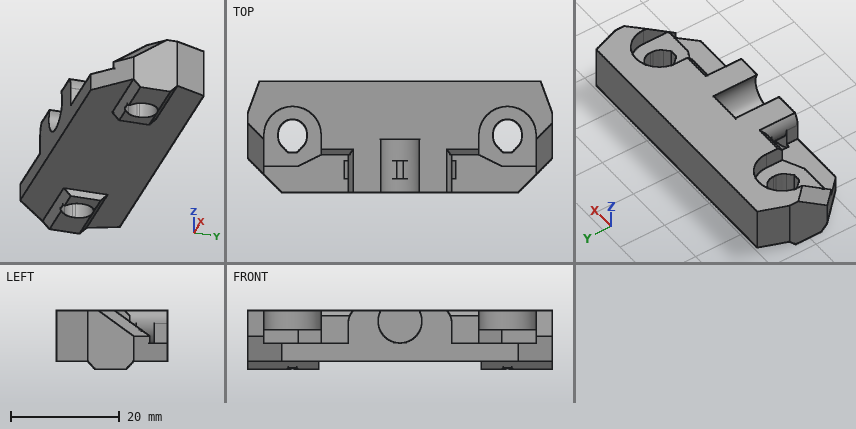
import cadquery as cq
import math

LENGTH = 56.0
DEPTH = 20.5
TOTAL_HEIGHT = 10.8
FOOT_HEIGHT = 1.45
PLATE_HEIGHT = TOTAL_HEIGHT - FOOT_HEIGHT
HALF_LENGTH = LENGTH / 2

FRONT_BEVEL = 6.3
BACK_CORNER_X = 2.1
BACK_CORNER_Y = 5.75
SIDE_FRONT = FRONT_BEVEL
SIDE_BACK = DEPTH - BACK_CORNER_Y

SLOPE_DROP = 4.7
SLOPE_SETBACK = 4.6

FOOT_INNER_X = 14.9
FOOT_SLOPE_RUN = 1.35

SCREW_X = 19.75
SEAT_Y = 10.6
SEAT_RADIUS = 5.25
SEAT_DROP = 3.5
SCREW_RADIUS = 2.65
SCREW_BACK_CENTRE_Y = 10.8
SCREW_FRONT_CENTRE_Y = 10.3
SCREW_TIP_Y = 7.4
SEAT_FRONT_Y = 4.9
SEAT_CORNER_X = 18.7
SEAT_OUTER_X = SCREW_X + SEAT_RADIUS
SEAT_INNER_X = SCREW_X - SEAT_RADIUS

POCKET_DROP = 6.0
POCKET_FLOOR_Z = PLATE_HEIGHT - POCKET_DROP
POCKET_BACK_Y = 6.95
POCKET_CHAMFER = 1.0

BLOCK_HALF_WIDTH = 9.5
STRAP_INNER_RADIUS = 3.6
STRAP_BORE_OVERLAP = 0.045
STRAP_CENTRE_X = BLOCK_HALF_WIDTH - STRAP_INNER_RADIUS
STRAP_CENTRE_Z = POCKET_FLOOR_Z + STRAP_INNER_RADIUS + STRAP_BORE_OVERLAP

STRAP_WIDTH = 3.3
STRAP_FRONT_Y = 2.5
STRAP_THICKNESS = 2.1

BORE_RADIUS = 4.05
BORE_LENGTH = 9.8
BORE_CENTRE_Z = POCKET_FLOOR_Z + BORE_RADIUS

SIDES = (-1, 1)
OVERCUT = 2.8


def plate():
    half_outline = [
        (HALF_LENGTH - FRONT_BEVEL, 0),
        (HALF_LENGTH, SIDE_FRONT),
        (HALF_LENGTH, SIDE_BACK),
        (HALF_LENGTH - BACK_CORNER_X, DEPTH),
    ]
    mirrored = [(-x, y) for x, y in reversed(half_outline)]
    return cq.Workplane("XY").polyline(half_outline + mirrored).close().extrude(PLATE_HEIGHT)


def foot(side):
    profile = [
        (SIDE_FRONT, 0),
        (SIDE_BACK, 0),
        (SIDE_BACK - FOOT_SLOPE_RUN, -FOOT_HEIGHT),
        (SIDE_FRONT + FOOT_SLOPE_RUN, -FOOT_HEIGHT),
    ]
    start = FOOT_INNER_X if side > 0 else -HALF_LENGTH
    return (
        cq.Workplane("YZ", origin=(start, 0, 0))
        .polyline(profile).close()
        .extrude(HALF_LENGTH - FOOT_INNER_X)
    )


def slope_cutter(side):
    """Wedge at the top of a 45 degree front bevel, extruded along the bevel."""
    plane = cq.Plane(
        origin=(side * HALF_LENGTH, SIDE_FRONT, PLATE_HEIGHT),
        xDir=(-side, 1, 0),
        normal=(1, side, 0),
    )
    return (
        cq.Workplane(plane)
        .polyline([(0, -SLOPE_DROP), (0, 0), (SLOPE_SETBACK, 0)]).close()
        .extrude(LENGTH, both=True)
    )


def seat_cutter(side):
    """Round-backed screw seat that runs out through the front."""
    x = side * SCREW_X
    return (
        cq.Workplane("XY", origin=(0, 0, PLATE_HEIGHT - SEAT_DROP))
        .moveTo(x - SEAT_RADIUS, -OVERCUT)
        .lineTo(x - SEAT_RADIUS, SEAT_Y)
        .threePointArc((x, SEAT_Y + SEAT_RADIUS), (x + SEAT_RADIUS, SEAT_Y))
        .lineTo(x + SEAT_RADIUS, -OVERCUT)
        .close()
        .extrude(SEAT_DROP + OVERCUT)
    )


def screw_hole_cutter(side):
    """Stretched teardrop hole whose 45 degree tip points forward and is cut flat."""
    tangent = SCREW_RADIUS * math.sqrt(0.5)
    tip_half_width = SCREW_RADIUS * math.sqrt(2) - (SCREW_FRONT_CENTRE_Y - SCREW_TIP_Y)
    return (
        cq.Workplane("XY", origin=(side * SCREW_X, 0, -FOOT_HEIGHT))
        .moveTo(-SCREW_RADIUS, SCREW_BACK_CENTRE_Y)
        .threePointArc((0, SCREW_BACK_CENTRE_Y + SCREW_RADIUS), (SCREW_RADIUS, SCREW_BACK_CENTRE_Y))
        .lineTo(SCREW_RADIUS, SCREW_FRONT_CENTRE_Y)
        .radiusArc((tangent, SCREW_FRONT_CENTRE_Y - tangent), SCREW_RADIUS)
        .lineTo(tip_half_width, SCREW_TIP_Y)
        .lineTo(-tip_half_width, SCREW_TIP_Y)
        .lineTo(-tangent, SCREW_FRONT_CENTRE_Y - tangent)
        .radiusArc((-SCREW_RADIUS, SCREW_FRONT_CENTRE_Y), SCREW_RADIUS)
        .close()
        .extrude(TOTAL_HEIGHT)
    )


def strap_outline(offset):
    """Bar along Y with round sides: the rounding of the centre block, grown by an offset."""
    diameter = 2 * (STRAP_INNER_RADIUS + offset)
    return (
        cq.Workplane("XZ", origin=(0, 0, STRAP_CENTRE_Z))
        .slot2D(2 * STRAP_CENTRE_X + diameter, diameter)
        .extrude(-DEPTH)
    )


def centre_block():
    """Material kept between the pockets: straight sides with rounded upper corners."""
    lower_height = STRAP_CENTRE_Z - POCKET_FLOOR_Z
    lower = cq.Workplane("XY", origin=(0, DEPTH / 2, POCKET_FLOOR_Z)).box(
        2 * BLOCK_HALF_WIDTH, DEPTH, lower_height, centered=(True, True, False)
    )
    return lower.union(strap_outline(0))


def pocket_cutter(side):
    """Front pocket with a notched back wall and a chamfer on the inner part of that wall."""
    floor_outline = [
        (0, -OVERCUT),
        (side * SEAT_OUTER_X, -OVERCUT),
        (side * SEAT_OUTER_X, SEAT_FRONT_Y),
        (side * SEAT_CORNER_X, SEAT_FRONT_Y),
        (side * SEAT_INNER_X, POCKET_BACK_Y),
        (0, POCKET_BACK_Y),
    ]
    pocket = (
        cq.Workplane("XY", origin=(0, 0, POCKET_FLOOR_Z))
        .polyline(floor_outline).close()
        .extrude(POCKET_DROP)
    )
    chamfer_profile = [
        (POCKET_BACK_Y, PLATE_HEIGHT - POCKET_CHAMFER),
        (POCKET_BACK_Y, PLATE_HEIGHT),
        (POCKET_BACK_Y + POCKET_CHAMFER, PLATE_HEIGHT),
    ]
    chamfer = (
        cq.Workplane("YZ").polyline(chamfer_profile).close().extrude(side * SEAT_INNER_X)
    )
    return pocket.union(chamfer).cut(centre_block())


def strap_channel_cutter():
    """Band of constant thickness around the centre block, wide enough for a strap."""
    band = strap_outline(STRAP_THICKNESS).cut(strap_outline(0))
    width_limit = cq.Workplane("XY", origin=(0, STRAP_FRONT_Y + STRAP_WIDTH / 2, 0)).box(
        LENGTH, STRAP_WIDTH, 2 * TOTAL_HEIGHT
    )
    return band.intersect(width_limit)


def bore_cutter():
    return (
        cq.Workplane("XZ", origin=(0, 0, BORE_CENTRE_Z))
        .circle(BORE_RADIUS)
        .extrude(-BORE_LENGTH)
    )


part = plate()
for side in SIDES:
    part = part.union(foot(side))
for side in SIDES:
    part = part.cut(slope_cutter(side))
    part = part.cut(pocket_cutter(side))
    part = part.cut(seat_cutter(side))
    part = part.cut(screw_hole_cutter(side))
part = part.cut(strap_channel_cutter())
result = part.cut(bore_cutter())